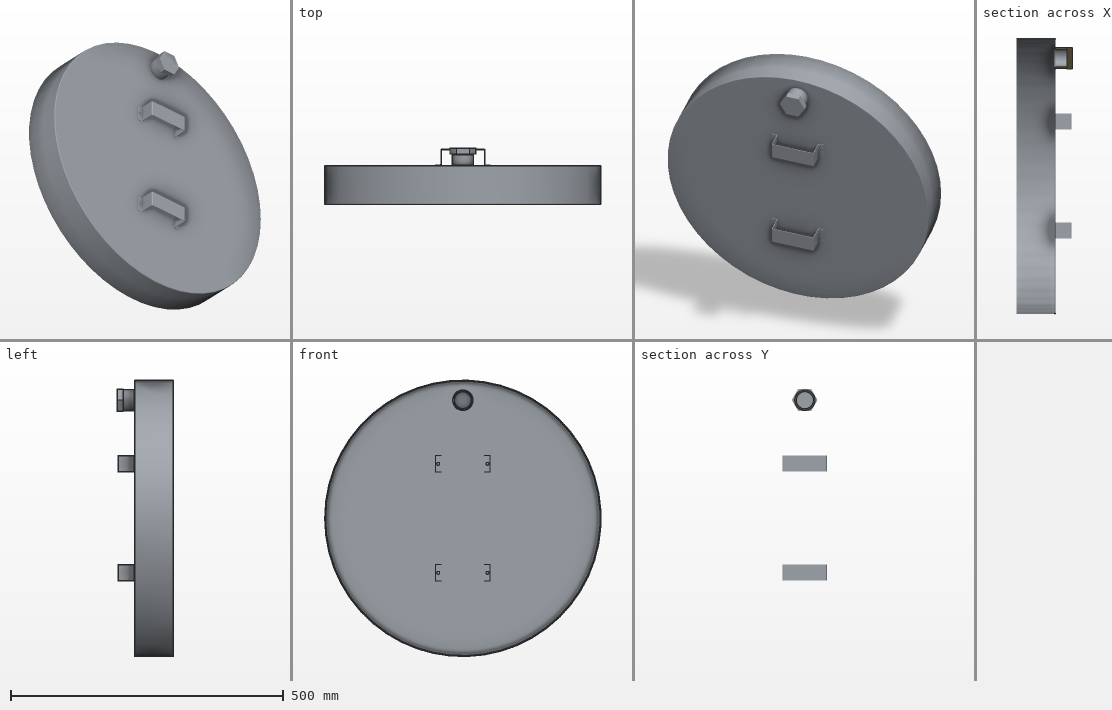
import cadquery as cq
import math

pan_diameter = 507.0
pan_depth = 71.5
pan_wall = 2.0
pan_floor = 1.0
pan_edge_radius = 1.5

drain_height = 216.5
drain_hole_diameter = 33.5
socket_diameter = 39.5
socket_chamfer = 1.0
bore_diameter = 30.5
countersink_diameter = 33.0
plug_across_flats = 41.0
plug_thickness = 11.0

bracket_sheet = 1.0
bend_inner_radius = 1.0
bracket_width = 81.0
bracket_height = 30.0
bracket_standoff = 30.0
bracket_foot_span = 100.0
foot_hole_diameter = 5.5
bracket_offset = 100.0

overall_depth = 103.5
front_y = -overall_depth / 2
back_y = front_y + pan_depth
socket_length = overall_depth - pan_depth - plug_thickness


def along_y(y, z=0.0):
    """Workplane facing +Y at the given depth and height."""
    return cq.Workplane(cq.Plane(origin=(0, y, z), xDir=(-1, 0, 0), normal=(0, 1, 0)))


def make_pan():
    shell = along_y(front_y).circle(pan_diameter / 2).extrude(pan_depth)
    shell = shell.faces("<Y or >Y").edges().fillet(pan_edge_radius)
    cavity_radius = pan_diameter / 2 - pan_wall
    cavity = along_y(front_y).circle(cavity_radius).extrude(pan_depth - pan_floor)
    drain_hole = along_y(front_y, drain_height).circle(drain_hole_diameter / 2).extrude(pan_depth)
    return shell.cut(cavity).cut(drain_hole)


def make_socket():
    base = along_y(back_y, drain_height)
    body = base.circle(socket_diameter / 2).extrude(socket_length)
    body = body.edges().chamfer(socket_chamfer)
    bore = base.circle(bore_diameter / 2).extrude(socket_length)
    countersink = cq.Solid.makeCone(
        countersink_diameter / 2,
        bore_diameter / 2,
        (countersink_diameter - bore_diameter) / 2,
        pnt=cq.Vector(0, back_y, drain_height),
        dir=cq.Vector(0, 1, 0),
    )
    return body.cut(bore).cut(cq.Workplane(countersink))


def make_plug():
    across_corners = plug_across_flats / math.cos(math.pi / 6)
    seat = along_y(back_y + socket_length, drain_height)
    return seat.polygon(6, across_corners).extrude(plug_thickness)


def bend(strap, x, y, radius):
    """Round the two strap edges that run along Z at (-x, y) and (x, y)."""
    mid_z = strap.val().Center().z
    for edge_x in (-x, x):
        nearest = cq.selectors.NearestToPointSelector((edge_x, y, mid_z))
        strap = strap.edges("|Z").edges(nearest).fillet(radius)
    return strap


def make_bracket(z):
    outer = bracket_width / 2
    inner = outer - bracket_sheet
    toe = bracket_foot_span / 2
    top = back_y + bracket_standoff
    web_bottom = top - bracket_sheet
    foot_top = back_y + bracket_sheet
    outline = [
        (-toe, back_y), (-inner, back_y), (-inner, web_bottom),
        (inner, web_bottom), (inner, back_y), (toe, back_y),
        (toe, foot_top), (outer, foot_top), (outer, top),
        (-outer, top), (-outer, foot_top), (-toe, foot_top),
    ]
    profile = cq.Workplane("XY", origin=(0, 0, z - bracket_height / 2)).polyline(outline).close()
    strap = profile.extrude(bracket_height)

    bend_outer_radius = bend_inner_radius + bracket_sheet
    strap = bend(strap, inner, web_bottom, bend_inner_radius)
    strap = bend(strap, outer, top, bend_outer_radius)
    strap = bend(strap, outer, foot_top, bend_inner_radius)
    strap = bend(strap, inner, back_y, bend_outer_radius)

    hole_x = (outer + toe) / 2
    holes = along_y(back_y, z).pushPoints([(-hole_x, 0), (hole_x, 0)])
    holes = holes.circle(foot_hole_diameter / 2).extrude(bracket_sheet)
    return strap.cut(holes)


pan = make_pan()
socket = make_socket()
plug = make_plug()
brackets = [make_bracket(z) for z in (-bracket_offset, bracket_offset)]

bodies = [pan, socket, plug, *brackets]
result = cq.Compound.makeCompound([body.solids().val() for body in bodies])